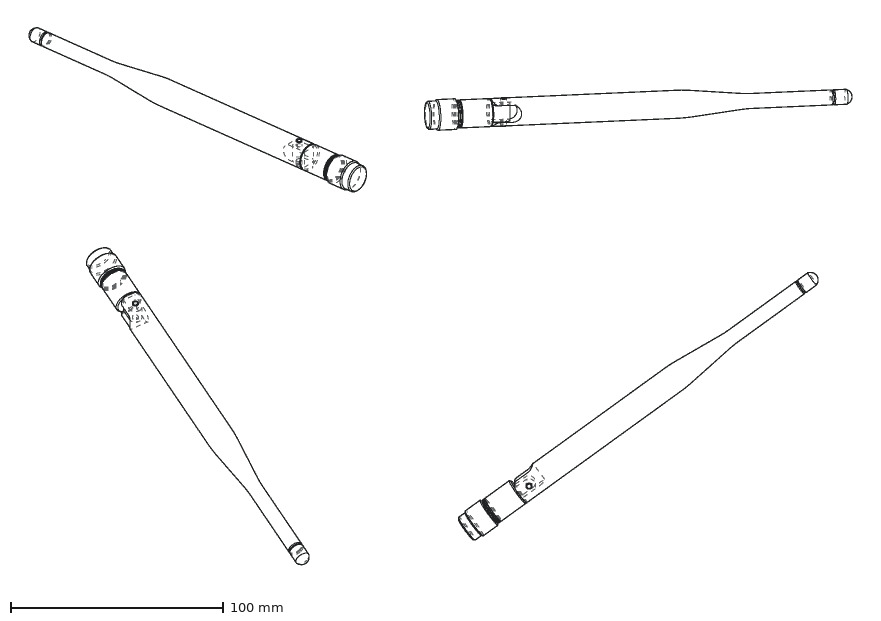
import cadquery as cq
import math

total_length = 205.0

whip_radius = 7.2 / 2
barrel_radius = 13.3 / 2
dome_length = 2.0
dome_radius = 3.3
rim_end = 2.7
ring_groove_x = 9.2
ring_groove_width = 1.2
ring_groove_depth = 0.2
taper_start = 51.0
taper_end = 81.0
blend_length = 2.7
antenna_end = 174.2

pin_x = 168.0
pin_radius = 1.5
pin_overhang = 0.1
pin_length = 2 * (barrel_radius + pin_overhang)
pin_chamfer = 0.5
tongue_width = 8.2
slot_start = 160.8
tongue_radius = pin_x - slot_start - tongue_width / 2
slot_rim_height = math.sqrt(barrel_radius**2 - (tongue_width / 2) ** 2)
fork_corner_radius = 2.9

base_end = 189.1
base_chamfer = 0.6

nut_radius = 14.5 / 2
collar_radius = barrel_radius
collar_chamfer = 0.6
neck_start = 190.4
neck_end = 191.0
neck_depth = 0.5
grip_start = 191.4
grip_end = 200.0
grip_chamfer = 0.6
nut_end_chamfer = 0.6


def revolve_about_x(profile):
    return profile.close().revolve(360, (0, 0, 0), (1, 0, 0))


def rod_along_z(radius, height):
    return cq.Workplane("XY").center(pin_x, 0).circle(radius).extrude(height / 2, both=True)


def make_antenna_outline():
    """Domed whip flaring into the barrel through a cone with tangent arcs at both ends."""
    dome_sphere_radius = (dome_radius**2 + dome_length**2) / (2 * dome_length)
    taper_angle = math.atan2(barrel_radius - whip_radius, taper_end - taper_start)
    blend_radius = blend_length / math.tan(taper_angle / 2)
    blend_x = blend_length * math.cos(taper_angle)
    blend_z = blend_length * math.sin(taper_angle)
    profile = (
        cq.Workplane("XZ")
        .moveTo(0, 0)
        .radiusArc((dome_length, dome_radius), dome_sphere_radius)
        .lineTo(rim_end, whip_radius)
        .lineTo(taper_start - blend_length, whip_radius)
        .radiusArc((taper_start + blend_x, whip_radius + blend_z), -blend_radius)
        .lineTo(taper_end - blend_x, barrel_radius - blend_z)
        .radiusArc((taper_end + blend_length, barrel_radius), blend_radius)
        .lineTo(antenna_end, barrel_radius)
        .lineTo(antenna_end, 0)
    )
    return revolve_about_x(profile)


def make_ring_groove():
    """V-shaped ring around the whip."""
    half_width = ring_groove_width / 2
    profile = (
        cq.Workplane("XZ")
        .moveTo(ring_groove_x - half_width, whip_radius)
        .lineTo(ring_groove_x, whip_radius - ring_groove_depth)
        .lineTo(ring_groove_x + half_width, whip_radius)
    )
    return revolve_about_x(profile)


def make_hinge_slot():
    """Slot open to +Y and +X, with a round end towards the whip."""
    round_end_x = slot_start + tongue_width / 2
    depth = tongue_radius + nut_radius
    start_plane = cq.Workplane("XZ", origin=(0, -tongue_radius, 0))
    straight_length = antenna_end - round_end_x
    straight = (
        start_plane.center(round_end_x + straight_length / 2, 0)
        .rect(straight_length, tongue_width)
        .extrude(-depth)
    )
    round_end = start_plane.center(round_end_x, 0).circle(tongue_width / 2).extrude(-depth)
    return straight.union(round_end)


def make_fork_corner():
    """Material removed to round the +Y corner at the end of the fork cheeks."""
    start_x = antenna_end - fork_corner_radius
    start_y = slot_rim_height - fork_corner_radius
    diagonal = fork_corner_radius * math.sqrt(0.5)
    return (
        cq.Workplane("XY")
        .moveTo(antenna_end, start_y)
        .threePointArc((start_x + diagonal, start_y + diagonal), (start_x, slot_rim_height))
        .lineTo(start_x, nut_radius)
        .lineTo(antenna_end, nut_radius)
        .close()
        .extrude(nut_radius, both=True)
    )


def make_antenna():
    pin_hole = rod_along_z(pin_radius, 2 * nut_radius)
    return (
        make_antenna_outline()
        .cut(make_ring_groove())
        .cut(make_hinge_slot())
        .cut(make_fork_corner())
        .cut(pin_hole)
    )


def make_base():
    """Round base with a hinge tongue that carries the pin."""
    barrel = (
        cq.Workplane("YZ", origin=(antenna_end, 0, 0))
        .circle(barrel_radius)
        .extrude(base_end - antenna_end)
        .faces("<X")
        .chamfer(base_chamfer)
    )
    tongue_bar = cq.Workplane("XY").box(
        antenna_end - pin_x, 2 * tongue_radius, tongue_width, centered=(False, True, True)
    ).translate((pin_x, 0, 0))
    knuckle = rod_along_z(tongue_radius, tongue_width)
    pin = rod_along_z(pin_radius, pin_length).faces("<Z or >Z").chamfer(pin_chamfer)
    return barrel.union(tongue_bar).union(knuckle).union(pin)


def make_nut():
    """Collar, narrow neck and grip ring in one turned piece."""
    profile = (
        cq.Workplane("XZ")
        .moveTo(base_end, 0)
        .lineTo(base_end, collar_radius - collar_chamfer)
        .lineTo(base_end + collar_chamfer, collar_radius)
        .lineTo(neck_start, collar_radius)
        .lineTo(neck_start, collar_radius - neck_depth)
        .lineTo(neck_end, collar_radius - neck_depth)
        .lineTo(grip_start, nut_radius)
        .lineTo(grip_end, nut_radius)
        .lineTo(grip_end + grip_chamfer, collar_radius)
        .lineTo(total_length - nut_end_chamfer, collar_radius)
        .lineTo(total_length, collar_radius - nut_end_chamfer)
        .lineTo(total_length, 0)
    )
    return revolve_about_x(profile)


antenna = make_antenna()
base = make_base()
nut = make_nut()

result = cq.Compound.makeCompound([antenna.val(), base.val(), nut.val()])